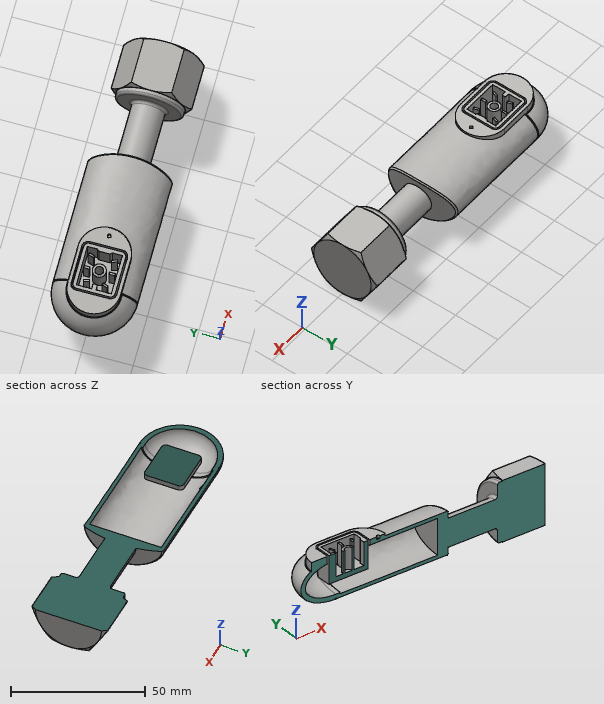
import cadquery as cq
import math

GRIP_HALF_WIDTH = 16.4
GRIP_HEIGHT = 19.4
GRIP_HALF_HEIGHT = GRIP_HEIGHT / 2
GRIP_END_X = 69.3
GRIP_END_BULGE = 3.2
GRIP_RIM_CHAMFER = 0.6
NOSE_X = GRIP_HALF_WIDTH

NOSE_WALL = 2.3
TUBE_WALL = 1.7
NOSE_WALL_END_X = 18.6
CAVITY_END_X = 64.2

GROOVE_WIDTH = 0.5
PAD_GROOVE_WIDTH = 0.3
GROOVE_DEPTH = 0.2

PAD_TOP_Z = 10.5
PAD_START_X = 5.0
PAD_LENGTH = 34.6
PAD_WIDTH = 20.4
PAD_CENTRE_X = PAD_START_X + PAD_LENGTH / 2
PIP_X = 36.5
PIP_DIAMETER = 1.4
PIP_DEPTH = 1.1

STEM_DIAMETER = 13.0
STEM_RADIUS = STEM_DIAMETER / 2
COLLAR_RADIUS = 13.3
COLLAR_START_X = 92.3
COLLAR_EDGE_RADIUS = 1.0
STEM_FILLET = 1.1
HEX_START_X = 94.7
HEX_END_X = 114.6
HEX_FLATS = 27.0
HEX_CORNER_RADIUS = HEX_FLATS / math.sqrt(3)
HEX_CHAMFER_ANGLE = 30.0

SOCKET_X = 22.5
SOCKET_LENGTH = 18.3
SOCKET_WIDTH = 16.3
SOCKET_CORNER = 1.8
SOCKET_HEIGHT = 12.6
SOCKET_GAP = 0.7
POCKET_LENGTH = 15.6
POCKET_WIDTH = 13.5
POCKET_DEPTH = 10.3
POCKET_FLOOR_Z = PAD_TOP_Z - POCKET_DEPTH
POST_RADIUS = 2.6
POST_BORE_RADIUS = 1.6
KEY_LENGTH = 2.1
KEY_WIDTH = 1.7
KEY_CORNER = 0.5
BOSS_LENGTH = 0.7
BOSS_WIDTH = 5.7
CONTACT_DROP = 0.6
CONTACT_HEIGHT = POCKET_DEPTH - CONTACT_DROP
MIDDLE_BLADE_THICKNESS = 0.9
OUTER_BLADE_THICKNESS = 0.8
BLADE_LENGTH = 2.3
BLADE_TILT = 18.0
MIDDLE_BLADE_Y = 4.9
OUTER_BLADE_X = 5.0
LEFT_BLADE_Y = 3.5
RIGHT_BLADE_Y = 4.5


def rounded_bar(inset, end_x):
    """Elliptical bar with a spheroid nose, set in from the grip surface, ending square at end_x."""
    half_width = GRIP_HALF_WIDTH - inset
    half_height = GRIP_HALF_HEIGHT - inset
    nose = (
        cq.Workplane("YZ", origin=(NOSE_X, 0, 0))
        .moveTo(0, -half_height)
        .ellipseArc(half_width, half_height, -90, 90, startAtCurrent=True)
        .close()
        .revolve(180, (0, 0, 0), (0, 1, 0))
    )
    tube = (
        cq.Workplane("YZ", origin=(NOSE_X, 0, 0))
        .ellipse(half_width, half_height)
        .extrude(end_x - NOSE_X)
    )
    return nose.union(tube)


def pad_prism(bottom_z, margin):
    """Slot-shaped prism from bottom_z to the pad top, grown outward by margin."""
    return (
        cq.Workplane("XY", origin=(PAD_CENTRE_X, 0, bottom_z))
        .slot2D(PAD_LENGTH + 2 * margin, PAD_WIDTH + 2 * margin)
        .extrude(PAD_TOP_Z - bottom_z)
    )


def make_grip():
    """Rounded bar cut to a convex end face with a chamfered rim."""
    side_x = GRIP_END_X - GRIP_END_BULGE
    plan = (
        cq.Workplane("XY", origin=(0, 0, -GRIP_HALF_HEIGHT))
        .moveTo(0, -GRIP_HALF_WIDTH)
        .lineTo(side_x, -GRIP_HALF_WIDTH)
        .threePointArc((GRIP_END_X, 0), (side_x, GRIP_HALF_WIDTH))
        .lineTo(0, GRIP_HALF_WIDTH)
        .close()
        .extrude(GRIP_HEIGHT)
    )
    grip = rounded_bar(0, GRIP_END_X).intersect(plan)
    return grip.faces(">X").edges().chamfer(GRIP_RIM_CHAMFER)


def cut_parting_grooves(grip):
    """Shallow groove round the grip at the end of the nose, and round the pad on the nose."""
    core = rounded_bar(GROOVE_DEPTH, GRIP_END_X)
    clear_width = 3 * GRIP_HALF_WIDTH
    clear_height = 3 * GRIP_HALF_HEIGHT
    slab = (
        cq.Workplane("XY", origin=(NOSE_X, 0, 0))
        .box(GROOVE_WIDTH, clear_width, clear_height, centered=(False, True, True))
    )
    nose_side = (
        cq.Workplane()
        .box(NOSE_X, clear_width, clear_height, centered=(False, True, True))
    )
    pad_ring = pad_prism(0, PAD_GROOVE_WIDTH).intersect(nose_side)
    return grip.cut(slab.cut(core)).cut(pad_ring.cut(core))


def make_cavity():
    """Hollow of the grip: narrower in the nose than in the tube."""
    nose_part = rounded_bar(NOSE_WALL, NOSE_WALL_END_X)
    tube_part = (
        cq.Workplane("YZ", origin=(NOSE_WALL_END_X, 0, 0))
        .ellipse(GRIP_HALF_WIDTH - TUBE_WALL, GRIP_HALF_HEIGHT - TUBE_WALL)
        .extrude(CAVITY_END_X - NOSE_WALL_END_X)
    )
    return nose_part.union(tube_part)


def socket_prism(margin, height):
    """Rounded rectangular prism hanging from the pad top, grown outward by margin."""
    return (
        cq.Workplane("XY", origin=(SOCKET_X, 0, PAD_TOP_Z))
        .rect(SOCKET_LENGTH + 2 * margin, SOCKET_WIDTH + 2 * margin)
        .extrude(-height)
        .edges("|Z")
        .fillet(SOCKET_CORNER + margin)
    )


def make_stem():
    """Round stem with a collar, along X, starting inside the grip's end wall."""
    stem = (
        cq.Workplane("YZ", origin=(CAVITY_END_X, 0, 0))
        .circle(STEM_RADIUS)
        .extrude(COLLAR_START_X - CAVITY_END_X)
    )
    collar = (
        cq.Workplane("YZ", origin=(COLLAR_START_X, 0, 0))
        .circle(COLLAR_RADIUS)
        .extrude(HEX_START_X - COLLAR_START_X)
        .faces("<X")
        .edges()
        .fillet(COLLAR_EDGE_RADIUS)
    )
    slack = 0.1
    reach = STEM_RADIUS + slack
    foot = cq.selectors.BoxSelector(
        (COLLAR_START_X - slack, -reach, -reach),
        (COLLAR_START_X + slack, reach, reach),
    )
    return stem.union(collar).edges(foot).fillet(STEM_FILLET)


def make_hexagon():
    """Hexagon with flats up and down and both ends chamfered down to the inscribed circle."""
    prism = (
        cq.Workplane("YZ", origin=(HEX_START_X, 0, 0))
        .polygon(6, 2 * HEX_CORNER_RADIUS)
        .extrude(HEX_END_X - HEX_START_X)
    )
    end_radius = HEX_FLATS / 2
    setback = (HEX_CORNER_RADIUS - end_radius) * math.tan(math.radians(HEX_CHAMFER_ANGLE))
    envelope = (
        cq.Workplane("XY")
        .moveTo(HEX_START_X, 0)
        .lineTo(HEX_START_X, end_radius)
        .lineTo(HEX_START_X + setback, HEX_CORNER_RADIUS)
        .lineTo(HEX_END_X - setback, HEX_CORNER_RADIUS)
        .lineTo(HEX_END_X, end_radius)
        .lineTo(HEX_END_X, 0)
        .close()
        .revolve(360, (0, 0, 0), (1, 0, 0))
    )
    return prism.intersect(envelope)


def make_housing():
    """Hollow grip with pad, socket opening, stem, collar and hexagon as one solid."""
    grip = cut_parting_grooves(make_grip())
    pip = (
        cq.Workplane("XY", origin=(PIP_X, 0, PAD_TOP_Z))
        .circle(PIP_DIAMETER / 2)
        .extrude(-PIP_DEPTH)
    )
    return (
        grip.union(pad_prism(0, 0))
        .cut(make_cavity())
        .cut(socket_prism(SOCKET_GAP, PAD_TOP_Z))
        .cut(pip)
        .union(make_stem())
        .union(make_hexagon())
    )


def pocket_block(x, y, length, width, height):
    """Upright block on the pocket floor, centred at x, y from the socket axis."""
    return (
        cq.Workplane("XY", origin=(SOCKET_X + x, y, POCKET_FLOOR_Z))
        .rect(length, width)
        .extrude(height)
    )


def make_pocket():
    """Rectangular pocket less the key on its -X wall and the tapered boss on its +X wall."""
    pocket = pocket_block(0, 0, POCKET_LENGTH, POCKET_WIDTH, POCKET_DEPTH)
    key = (
        pocket_block((KEY_LENGTH - POCKET_LENGTH) / 2, 0, KEY_LENGTH, KEY_WIDTH, POCKET_DEPTH)
        .edges("|Z and >X")
        .fillet(KEY_CORNER)
    )
    wall_x = POCKET_LENGTH / 2
    root_y = BOSS_WIDTH / 2
    tip_x = wall_x - BOSS_LENGTH
    tip_y = root_y - BOSS_LENGTH
    boss = (
        cq.Workplane("XY", origin=(SOCKET_X, 0, POCKET_FLOOR_Z))
        .polyline([(wall_x, -root_y), (wall_x, root_y), (tip_x, tip_y), (tip_x, -tip_y)])
        .close()
        .extrude(POCKET_DEPTH)
    )
    return pocket.cut(key).cut(boss)


def make_blade(x, y, thickness, tilt):
    """Contact blade standing on the pocket floor, turned by tilt degrees about its own axis."""
    axis_start = (SOCKET_X + x, y, 0)
    axis_end = (SOCKET_X + x, y, 1)
    blade = pocket_block(x, y, thickness, BLADE_LENGTH, CONTACT_HEIGHT)
    return blade.rotate(axis_start, axis_end, tilt)


def make_socket():
    """Insert with a keyed pocket, a bored centre post and six contact blades."""
    socket = socket_prism(0, SOCKET_HEIGHT).cut(make_pocket())
    post = (
        cq.Workplane("XY", origin=(SOCKET_X, 0, POCKET_FLOOR_Z))
        .circle(POST_RADIUS)
        .circle(POST_BORE_RADIUS)
        .extrude(CONTACT_HEIGHT)
    )
    socket = socket.union(post)
    for side in (-1, 1):
        tilt = side * BLADE_TILT
        middle = make_blade(0, side * MIDDLE_BLADE_Y, MIDDLE_BLADE_THICKNESS, 0)
        left = make_blade(-OUTER_BLADE_X, side * LEFT_BLADE_Y, OUTER_BLADE_THICKNESS, tilt)
        right = make_blade(OUTER_BLADE_X, side * RIGHT_BLADE_Y, OUTER_BLADE_THICKNESS, -tilt)
        socket = socket.union(middle).union(left).union(right)
    return socket


housing = make_housing()
socket = make_socket()
result = cq.Compound.makeCompound([housing.solids().val(), socket.solids().val()])